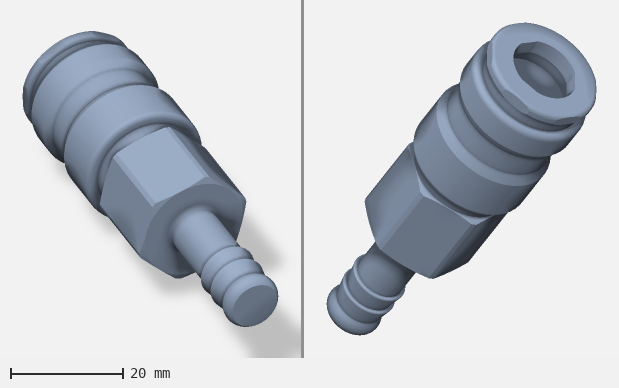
import cadquery as cq
import math


LENGTH = 73.5
FLANGE_END = 2.5
SLEEVE_START = 5.1
SLEEVE_END = 28.7
HEX_START = 31.45
HEX_END = 48.5

FLANGE_FACE_DIA = 20.1
FLANGE_ROUND = 0.9
FLANGE_DIA = FLANGE_FACE_DIA + 2 * FLANGE_ROUND
FLANGE_FLATS = 21.0
FRONT_NECK_DIA = 20.0
MOUTH_DIA = 12.8
MOUTH_FLAT_OFFSET = 6.1
MOUTH_DEPTH = 3.2
CHAMBER_DIA = 14.0
CHAMBER_END = 6.0

CORE_DIA = 18.95
HEX_FLATS = 19.3
HEX_CORNER_DIA = 21.75
HEX_FIRST_CORNER = 15.0
HEX_CHAMFER = 0.45

SLEEVE_DIA = 23.15
GROOVE_DIA = 21.0
GROOVE_START = 12.4
GROOVE_END = 17.35
GROOVE_SLOPE = 1.9
SLEEVE_FRONT_ROUND = 1.1
SLEEVE_BACK_ROUND = 0.95

TUBE_DIA = 9.1
TUBE_FILLET = 0.8
BARB_DIA = 10.5
BARB_START = 61.95
BARB_PITCH = 4.0
BARB_COUNT = 2
BARB_ROUND = 0.3
BULB_CREST = 71.6
TIP_DIA = 8.8


def cylinder(diameter, start, end):
    """Solid cylinder on the X axis between two stations."""
    return cq.Workplane("YZ", origin=(start, 0, 0)).circle(diameter / 2).extrude(end - start)


def hexagon(across_flats, first_corner, start, end):
    """Hexagonal bar on the X axis; first_corner is the angle from +Y towards +Z."""
    corner_dia = across_flats / math.cos(math.pi / 6)
    return (
        cq.Workplane("YZ", origin=(start, 0, 0))
        .polygon(6, corner_dia)
        .extrude(end - start)
        .rotate((0, 0, 0), (1, 0, 0), first_corner)
    )


def revolve_about_x(profile):
    """Turn a closed profile, drawn as (x, radius), about the X axis."""
    return profile.close().revolve(360, (0, 0, 0), (1, 0, 0))


def make_flange():
    """Round-edged disc with six flats; two of the flats face +Y and -Y."""
    disc = cylinder(FLANGE_DIA, 0, FLANGE_END).edges().fillet(FLANGE_ROUND)
    return disc.intersect(hexagon(FLANGE_FLATS, 30, 0, FLANGE_END))


def make_wrench_hex():
    """Hexagon with turned corners, coned at both ends down to its inscribed circle."""
    blank = cylinder(HEX_CORNER_DIA, HEX_START, HEX_END)
    cone_height = (HEX_CORNER_DIA - HEX_FLATS) / 2
    blank = blank.faces("<X").chamfer(HEX_CHAMFER, cone_height)
    blank = blank.faces(">X").chamfer(HEX_CHAMFER, cone_height)
    return blank.intersect(hexagon(HEX_FLATS, HEX_FIRST_CORNER, HEX_START, HEX_END))


def make_hose_barb():
    """Tube with a concave root fillet, round-crested saw-tooth barbs and a rounded bulb at the tip."""
    tube_r = TUBE_DIA / 2
    barb_r = BARB_DIA / 2
    fillet_mid = TUBE_FILLET * (1 - math.sqrt(0.5))
    round_mid = BARB_ROUND * (1 - math.sqrt(0.5))
    profile = (
        cq.Workplane("XY")
        .moveTo(HEX_END, 0)
        .lineTo(HEX_END, tube_r + TUBE_FILLET)
        .threePointArc((HEX_END + fillet_mid, tube_r + fillet_mid), (HEX_END + TUBE_FILLET, tube_r))
        .lineTo(BARB_START, tube_r)
    )
    for index in range(BARB_COUNT):
        start = BARB_START + index * BARB_PITCH
        profile = (
            profile.lineTo(start, barb_r - BARB_ROUND)
            .threePointArc((start + round_mid, barb_r - round_mid), (start + BARB_ROUND, barb_r))
            .lineTo(start + BARB_PITCH, tube_r)
        )
    profile = profile.threePointArc((BULB_CREST, barb_r), (LENGTH, TIP_DIA / 2)).lineTo(LENGTH, 0)
    return revolve_about_x(profile)


def make_mouth():
    """Cutter for the round mouth with three flats and the wider chamber behind it."""
    mouth = cylinder(MOUTH_DIA, 0, MOUTH_DEPTH)
    flat_side = cq.Workplane("XY").box(MOUTH_DEPTH, MOUTH_DIA, MOUTH_DIA, centered=(False, False, True))
    flat_side = flat_side.translate((0, MOUTH_FLAT_OFFSET, 0))
    for angle in (60, 180, 300):
        mouth = mouth.cut(flat_side.rotate((0, 0, 0), (1, 0, 0), angle))
    return mouth.union(cylinder(CHAMBER_DIA, MOUTH_DEPTH, CHAMBER_END))


def make_core():
    """Core: flange, necks, wrench hexagon and hose barb in one piece."""
    return (
        make_flange()
        .union(cylinder(FRONT_NECK_DIA, FLANGE_END, SLEEVE_START))
        .union(cylinder(CORE_DIA, SLEEVE_START, HEX_START))
        .union(make_wrench_hex())
        .union(make_hose_barb())
        .cut(make_mouth())
    )


def make_sleeve():
    """Sleeve with rounded ends and a conical-sided grip groove, bored to fit the core."""
    outer_r = SLEEVE_DIA / 2
    groove_r = GROOVE_DIA / 2
    bore_r = CORE_DIA / 2
    profile = (
        cq.Workplane("XY")
        .moveTo(SLEEVE_START, bore_r)
        .lineTo(SLEEVE_START, outer_r)
        .lineTo(GROOVE_START - GROOVE_SLOPE, outer_r)
        .lineTo(GROOVE_START, groove_r)
        .lineTo(GROOVE_END, groove_r)
        .lineTo(GROOVE_END + GROOVE_SLOPE, outer_r)
        .lineTo(SLEEVE_END, outer_r)
        .lineTo(SLEEVE_END, bore_r)
    )
    body = revolve_about_x(profile)
    body = body.faces("<X").edges(cq.selectors.RadiusNthSelector(-1)).fillet(SLEEVE_FRONT_ROUND)
    return body.faces(">X").edges(cq.selectors.RadiusNthSelector(-1)).fillet(SLEEVE_BACK_ROUND)


core = make_core()
sleeve = make_sleeve()

result = cq.Compound.makeCompound([core.val(), sleeve.val()])